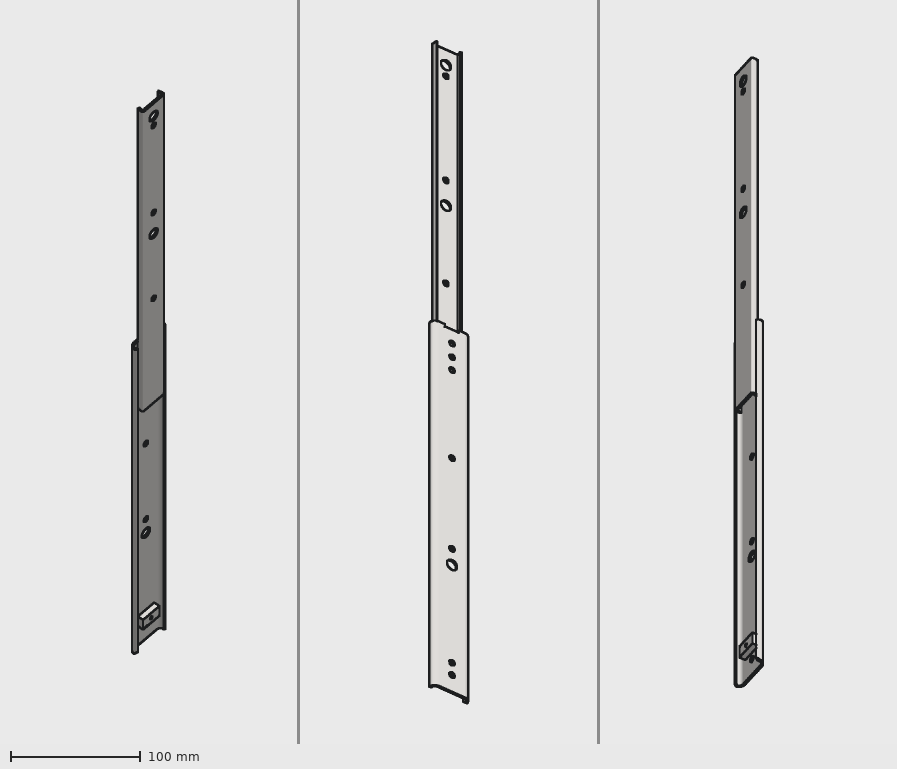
import cadquery as cq
import math

TOTAL_HEIGHT = 633.0
OUTER_HEIGHT = 356.5
INNER_BOTTOM = 282.0
WIDTH = 35.5
DEPTH = 9.5
SHEET = 1.6

WEB_HALF_WIDTH = 12.35
BEND_RADIUS = 6.0
BEND_ANGLE = 47.0
OUTER_LIP_X = 7.5

INNER_HALF_WIDTH = 12.5
INNER_LIP_X = 4.0
INNER_BEND_RADIUS = 0.95
FLANGE_BOW_RADIUS = 16.0
FLANGE_BOW_START_X = 7.5

MOUNT_HOLE_DIAMETER = 9.5
SCREW_HOLE_DIAMETER = 5.0
OUTER_MOUNT_HOLES = [124.0]
OUTER_SCREW_HOLES = [16.5, 140.0, 228.5, 314.5, 327.0, 340.5]
INNER_MOUNT_HOLES = [480.5, 618.0]
INNER_SCREW_HOLES = [404.5, 505.0, 607.0]

STOP_CENTER_Z = 28.5
STOP_HEIGHT = 11.5
STOP_WIDTH = 19.0
STOP_FACE_X = 7.0
STOP_PILOT_DIAMETER = 2.5

NOTCH_WIDTH = 13.0
NOTCH_DEPTH = 2.2
LIP_BEVEL = 2.5


def arc_point(center, radius, angle):
    """Point on a circle, with the angle turned from -X towards +Y."""
    a = math.radians(angle)
    return (center[0] - radius * math.cos(a), center[1] + radius * math.sin(a))


def outer_half_skin(inset):
    """Points of one half of the outer section, set inwards from its outside by the inset."""
    bend_center = (BEND_RADIUS, WEB_HALF_WIDTH)
    corner = arc_point(bend_center, BEND_RADIUS, BEND_ANGLE)
    race_radius = (WIDTH / 2 - corner[1]) / (1 - math.sin(math.radians(BEND_ANGLE)))
    race_center = arc_point(corner, -race_radius, BEND_ANGLE)
    lip_angle = 90 + math.degrees(math.asin((OUTER_LIP_X - race_center[0]) / race_radius))
    bend = BEND_RADIUS - inset
    race = race_radius - inset
    return [
        (inset, WEB_HALF_WIDTH),
        arc_point(bend_center, bend, BEND_ANGLE / 2),
        arc_point(bend_center, bend, BEND_ANGLE),
        arc_point(race_center, race, (BEND_ANGLE + lip_angle) / 2),
        arc_point(race_center, race, lip_angle),
    ]


def mirrored(points):
    return [(x, -y) for x, y in points]


def outer_section():
    outside = outer_half_skin(0)
    inside = outer_half_skin(SHEET)
    far_inside = mirrored(inside)
    far_outside = mirrored(outside)
    return (
        cq.Workplane("XY")
        .moveTo(*outside[0])
        .threePointArc(outside[1], outside[2])
        .threePointArc(outside[3], outside[4])
        .lineTo(*inside[4])
        .threePointArc(inside[3], inside[2])
        .threePointArc(inside[1], inside[0])
        .lineTo(*far_inside[0])
        .threePointArc(far_inside[1], far_inside[2])
        .threePointArc(far_inside[3], far_inside[4])
        .lineTo(*far_outside[4])
        .threePointArc(far_outside[3], far_outside[2])
        .threePointArc(far_outside[1], far_outside[0])
        .close()
    )


def cross_holes(heights, diameter, depth=DEPTH):
    """Round bars along X from the outer web's face, one at each height."""
    return (
        cq.Workplane("YZ")
        .pushPoints([(0, z) for z in heights])
        .circle(diameter / 2)
        .extrude(depth)
    )


def stop_block():
    """Block standing on the inside of the outer web."""
    return (
        cq.Workplane("YZ")
        .workplane(offset=SHEET / 2)
        .center(0, STOP_CENTER_Z)
        .rect(STOP_WIDTH, STOP_HEIGHT)
        .extrude(STOP_FACE_X - SHEET / 2)
    )


def make_outer_rail():
    rail = outer_section().extrude(OUTER_HEIGHT).union(stop_block())
    notch = cq.Workplane("XY").box(2 * SHEET, NOTCH_WIDTH, 2 * NOTCH_DEPTH)
    notch = notch.translate((0, 0, OUTER_HEIGHT))
    bevel = (
        cq.Workplane("XZ")
        .polyline([(OUTER_LIP_X - LIP_BEVEL, 0), (OUTER_LIP_X, 0), (OUTER_LIP_X, LIP_BEVEL)])
        .close()
        .extrude(WIDTH / 2, both=True)
    )
    rail = rail.cut(notch).cut(bevel)
    rail = rail.cut(cross_holes(OUTER_MOUNT_HOLES, MOUNT_HOLE_DIAMETER))
    rail = rail.cut(cross_holes(OUTER_SCREW_HOLES, SCREW_HOLE_DIAMETER))
    rail = rail.cut(cross_holes([STOP_CENTER_Z], SCREW_HOLE_DIAMETER, SHEET))
    return rail.cut(cross_holes([STOP_CENTER_Z], STOP_PILOT_DIAMETER))


def inner_half_skin(inset):
    """Points of one flange of the inner section from lip to web, set inwards by the inset."""
    radius = FLANGE_BOW_RADIUS - inset
    center = (FLANGE_BOW_START_X, INNER_HALF_WIDTH - FLANGE_BOW_RADIUS)
    lip_angle = math.degrees(math.acos((FLANGE_BOW_START_X - INNER_LIP_X) / FLANGE_BOW_RADIUS))
    return [
        arc_point(center, radius, lip_angle),
        arc_point(center, radius, (lip_angle + 90) / 2),
        arc_point(center, radius, 90),
        (DEPTH - inset, INNER_HALF_WIDTH - inset),
    ]


def inner_section():
    outside = inner_half_skin(0)
    inside = inner_half_skin(SHEET)
    far_inside = mirrored(inside)
    far_outside = mirrored(outside)
    return (
        cq.Workplane("XY")
        .workplane(offset=INNER_BOTTOM)
        .moveTo(*outside[0])
        .threePointArc(outside[1], outside[2])
        .lineTo(*outside[3])
        .lineTo(*far_outside[3])
        .lineTo(*far_outside[2])
        .threePointArc(far_outside[1], far_outside[0])
        .lineTo(*far_inside[0])
        .threePointArc(far_inside[1], far_inside[2])
        .lineTo(*far_inside[3])
        .lineTo(*inside[3])
        .lineTo(*inside[2])
        .threePointArc(inside[1], inside[0])
        .close()
    )


def make_inner_rail():
    rail = inner_section().extrude(TOTAL_HEIGHT - INNER_BOTTOM)
    rail = rail.edges("|Z and >X").fillet(INNER_BEND_RADIUS)
    rail = rail.cut(cross_holes(INNER_MOUNT_HOLES, MOUNT_HOLE_DIAMETER))
    return rail.cut(cross_holes(INNER_SCREW_HOLES, SCREW_HOLE_DIAMETER))


outer_rail = make_outer_rail()
inner_rail = make_inner_rail()
result = cq.Compound.makeCompound([outer_rail.val(), inner_rail.val()])